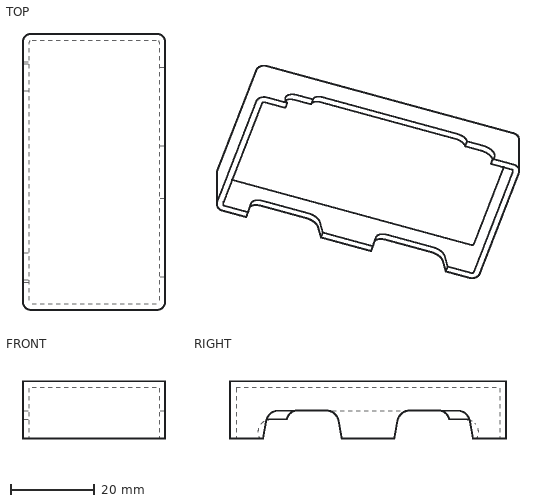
import cadquery as cq
import math

LENGTH_X = 34.3
LENGTH_Y = 66.5
HEIGHT = 13.83
WALL = 1.5
CORNER_RADIUS = 2.0

OPENING_HEIGHT = 6.75

SHOULDER_HEIGHT = 4.65
SHOULDER_INNER_Y = 19.5
UPPER_RADIUS = 2.5
LOWER_RADIUS = 3.0
WIDE_HALF_WIDTH = 26.5

TAPERED_CENTER_Y = 15.8
TAPERED_BOTTOM_WIDTH = 18.9
TAPERED_DRAFT = 10.0
TAPERED_RADIUS = 3.0


def cover_shell():
    body = (
        cq.Workplane("XY")
        .rect(LENGTH_X, LENGTH_Y)
        .extrude(HEIGHT)
        .edges("|Z")
        .fillet(CORNER_RADIUS)
    )
    cavity = (
        cq.Workplane("XY")
        .rect(LENGTH_X - 2 * WALL, LENGTH_Y - 2 * WALL)
        .extrude(HEIGHT - WALL)
        .edges("|Z")
        .fillet(CORNER_RADIUS - WALL)
    )
    return body.cut(cavity)


def half_wide_opening():
    """Half of the stepped opening, from the middle of the -X wall to its +Y end."""
    lower_y = WIDE_HALF_WIDTH - LOWER_RADIUS
    lower_z = SHOULDER_HEIGHT - LOWER_RADIUS
    rim_y = lower_y + math.sqrt(LOWER_RADIUS**2 - lower_z**2)

    upper_z = OPENING_HEIGHT - UPPER_RADIUS
    shoulder_rise = SHOULDER_HEIGHT - upper_z
    upper_y = SHOULDER_INNER_Y - math.sqrt(UPPER_RADIUS**2 - shoulder_rise**2)
    upper_mid_angle = (math.asin(shoulder_rise / UPPER_RADIUS) + math.pi / 2) / 2
    upper_mid = (
        upper_y + UPPER_RADIUS * math.cos(upper_mid_angle),
        upper_z + UPPER_RADIUS * math.sin(upper_mid_angle),
    )

    return (
        cq.Workplane("YZ", origin=(-LENGTH_X / 2, 0, 0))
        .moveTo(0, 0)
        .lineTo(rim_y, 0)
        .threePointArc((WIDE_HALF_WIDTH, lower_z), (lower_y, SHOULDER_HEIGHT))
        .lineTo(SHOULDER_INNER_Y, SHOULDER_HEIGHT)
        .threePointArc(upper_mid, (upper_y, OPENING_HEIGHT))
        .lineTo(0, OPENING_HEIGHT)
        .close()
        .extrude(WALL)
    )


def tapered_opening(center_y):
    """Opening through the +X wall that narrows upward and has rounded top corners."""
    bottom_half = TAPERED_BOTTOM_WIDTH / 2
    top_half = bottom_half - OPENING_HEIGHT * math.tan(math.radians(TAPERED_DRAFT))
    return (
        cq.Workplane("YZ", origin=(LENGTH_X / 2 - WALL, center_y, 0))
        .polyline(
            [
                (-bottom_half, 0),
                (bottom_half, 0),
                (top_half, OPENING_HEIGHT),
                (-top_half, OPENING_HEIGHT),
            ]
        )
        .close()
        .extrude(WALL)
        .edges("|X and >Z")
        .fillet(TAPERED_RADIUS)
    )


result = cover_shell()

half_opening = half_wide_opening()
result = result.cut(half_opening).cut(half_opening.mirror("XZ"))

for side in (-1, 1):
    result = result.cut(tapered_opening(side * TAPERED_CENTER_Y))